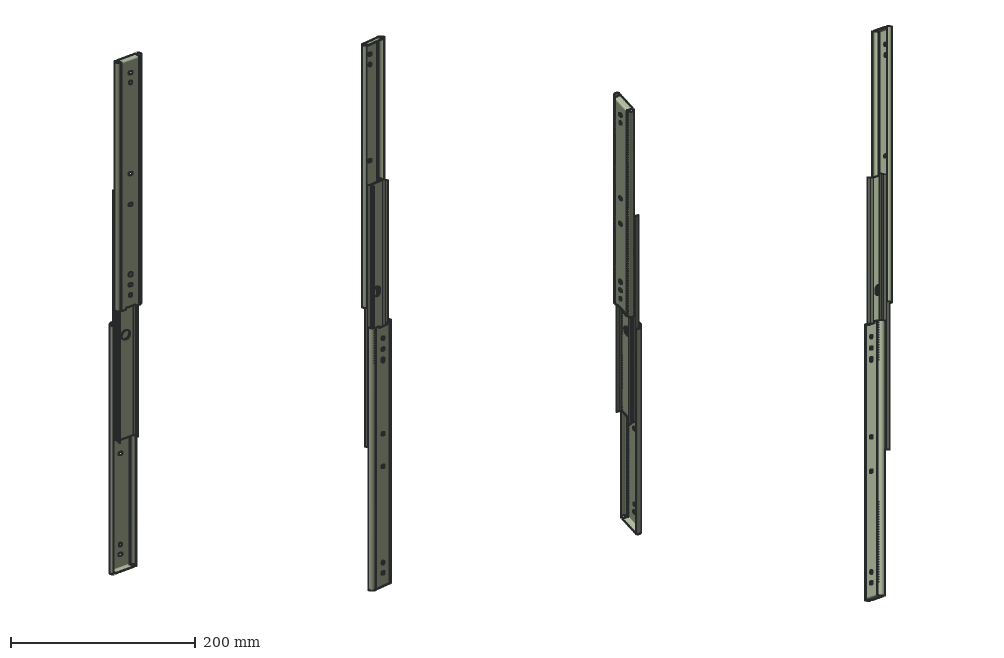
import cadquery as cq
import math

TOTAL_LENGTH = 631.0
TOTAL_DEPTH = 19.0
TOTAL_WIDTH = 35.5
RAIL_LENGTH = 304.5
SHEET = 0.95

WEB_X = -TOTAL_DEPTH / 2
WEB_WIDTH = 25.0
STEP_DEPTH = 1.0
STEP_X = WEB_X + STEP_DEPTH
RACE_X = -4.5
RACE_RISE = (TOTAL_WIDTH - WEB_WIDTH) / 2
RACE_RADIUS = ((RACE_X - STEP_X) ** 2 + RACE_RISE**2) / (2 * RACE_RISE)
RACE_Y = TOTAL_WIDTH / 2 - RACE_RADIUS
RAIL_LIP_X = -0.95

NOTCH_WIDTH = 13.0
NOTCH_DEPTH = 2.0
STOP_WIDTH = WEB_WIDTH
STOP_END_X = -1.0
STOP_BEND_RADIUS = 2.0

SMALL_HOLE_DIAMETER = 4.5
SMALL_HOLE_HEIGHTS = [28.5, 289.0]
LARGE_HOLE_DIAMETER = 5.5
LARGE_HOLE_HEIGHT = 263.5
SLOT_LENGTH = 5.5
SLOT_HEIGHT = 4.0
SLOT_HEIGHTS = [16.5, 140.0, 178.0, 276.0]

INNER_START = (TOTAL_LENGTH - RAIL_LENGTH) / 2
INNER_WEB_HALF = 11.05
INNER_BEND_X = -2.85
INNER_BEND_Y = 12.3
INNER_LIP_X = -6.0
INNER_LIP_Y = 12.9
INNER_RACE_SAG = 0.2
INNER_HOLE_DIAMETER = 11.5
INNER_HOLE_HEIGHT = 341.0


def race_point(radius, angle):
    """Point on the outer rail's ball race, at an angle in radians from +X."""
    return (RACE_X + radius * math.cos(angle), RACE_Y + radius * math.sin(angle))


def mirrored(point):
    """Matching point on the -Y side of the section."""
    return (point[0], -point[1])


def rail_channel():
    """Outer rail section extruded along Z from its outer end."""
    inner_radius = RACE_RADIUS - SHEET
    web_edge_y = WEB_WIDTH / 2
    step_angle = math.pi + math.atan2(RACE_Y - web_edge_y, RACE_X - STEP_X)
    lip_angle = math.acos((RAIL_LIP_X - RACE_X) / RACE_RADIUS)
    middle_angle = (step_angle + lip_angle) / 2
    outer_web = (WEB_X, web_edge_y)
    outer_step = race_point(RACE_RADIUS, step_angle)
    outer_middle = race_point(RACE_RADIUS, middle_angle)
    outer_lip = race_point(RACE_RADIUS, lip_angle)
    inner_lip = race_point(inner_radius, lip_angle)
    inner_middle = race_point(inner_radius, middle_angle)
    inner_step = race_point(inner_radius, step_angle)
    inner_web = (WEB_X + SHEET, web_edge_y - SHEET)
    return (
        cq.Workplane("XY")
        .moveTo(*mirrored(outer_web))
        .lineTo(*outer_web)
        .lineTo(*outer_step)
        .threePointArc(outer_middle, outer_lip)
        .lineTo(*inner_lip)
        .threePointArc(inner_middle, inner_step)
        .lineTo(*inner_web)
        .lineTo(*mirrored(inner_web))
        .lineTo(*mirrored(inner_step))
        .threePointArc(mirrored(inner_middle), mirrored(inner_lip))
        .lineTo(*mirrored(outer_lip))
        .threePointArc(mirrored(outer_middle), mirrored(outer_step))
        .close()
        .extrude(RAIL_LENGTH)
    )


def end_stop():
    """Tab bent inward from the web, an L section with a rounded bend."""
    inner_bend = STOP_BEND_RADIUS - SHEET
    return (
        cq.Workplane("XZ")
        .moveTo(WEB_X, STOP_BEND_RADIUS)
        .radiusArc((WEB_X + STOP_BEND_RADIUS, 0), -STOP_BEND_RADIUS)
        .lineTo(STOP_END_X, 0)
        .lineTo(STOP_END_X, SHEET)
        .lineTo(WEB_X + STOP_BEND_RADIUS, SHEET)
        .radiusArc((WEB_X + SHEET, STOP_BEND_RADIUS), inner_bend)
        .close()
        .extrude(STOP_WIDTH / 2, both=True)
    )


def bend_clearance():
    """Block of web that gives way to the end stop."""
    return (
        cq.Workplane("XY")
        .rect(2 * SHEET, STOP_WIDTH)
        .extrude(STOP_BEND_RADIUS)
        .translate((WEB_X, 0, 0))
    )


def web_plane(x):
    """Workplane across X, with local x along Y and local y along Z."""
    return cq.Workplane("YZ", origin=(x, 0, 0))


def round_cutters(x, heights, diameter):
    """Cylinders through a web whose lower-X face is at x, one at each height."""
    return (
        web_plane(x)
        .pushPoints([(0, height) for height in heights])
        .circle(diameter / 2)
        .extrude(SHEET)
    )


def outer_rail():
    """Lower outer rail, with its web on the -X side and its stop at Z = 0."""
    rail = rail_channel().cut(bend_clearance()).union(end_stop())
    notch = (
        web_plane(WEB_X)
        .center(0, RAIL_LENGTH)
        .rect(NOTCH_WIDTH, 2 * NOTCH_DEPTH)
        .extrude(SHEET)
    )
    small_holes = round_cutters(WEB_X, SMALL_HOLE_HEIGHTS, SMALL_HOLE_DIAMETER)
    large_hole = round_cutters(WEB_X, [LARGE_HOLE_HEIGHT], LARGE_HOLE_DIAMETER)
    slots = (
        web_plane(WEB_X)
        .pushPoints([(0, height) for height in SLOT_HEIGHTS])
        .slot2D(SLOT_LENGTH, SLOT_HEIGHT)
        .extrude(SHEET)
    )
    return rail.cut(notch).cut(small_holes).cut(large_hole).cut(slots)


def inner_rail():
    """Inner rail on the -X side, its web back on the plane X = 0."""
    web_edge = (0, INNER_WEB_HALF)
    bend = (INNER_BEND_X, INNER_BEND_Y)
    lip = (INNER_LIP_X, INNER_LIP_Y)
    race_middle = ((bend[0] + lip[0]) / 2, (bend[1] + lip[1]) / 2 - INNER_RACE_SAG)

    def inside(point):
        """Matching point on the inner face of the flange."""
        return (point[0], point[1] - SHEET)

    web_front = (-SHEET, INNER_WEB_HALF - SHEET)
    channel = (
        cq.Workplane("XY", origin=(0, 0, INNER_START))
        .moveTo(*mirrored(web_edge))
        .lineTo(*web_edge)
        .lineTo(*bend)
        .threePointArc(race_middle, lip)
        .lineTo(*inside(lip))
        .threePointArc(inside(race_middle), inside(bend))
        .lineTo(*web_front)
        .lineTo(*mirrored(web_front))
        .lineTo(*mirrored(inside(bend)))
        .threePointArc(mirrored(inside(race_middle)), mirrored(inside(lip)))
        .lineTo(*mirrored(lip))
        .threePointArc(mirrored(race_middle), mirrored(bend))
        .close()
        .extrude(RAIL_LENGTH)
    )
    hole_heights = [INNER_HOLE_HEIGHT, TOTAL_LENGTH - INNER_HOLE_HEIGHT]
    return channel.cut(round_cutters(-SHEET, hole_heights, INNER_HOLE_DIAMETER))


def turned_over(body):
    """Same body turned half a turn about the Y line through the middle of the slide."""
    centre = TOTAL_LENGTH / 2
    return body.rotate((0, 0, centre), (0, 1, centre), 180)


bodies = []
for rail in [outer_rail(), inner_rail()]:
    for placed in [rail, turned_over(rail)]:
        bodies.append(placed.solids().val())

result = cq.Compound.makeCompound(bodies)